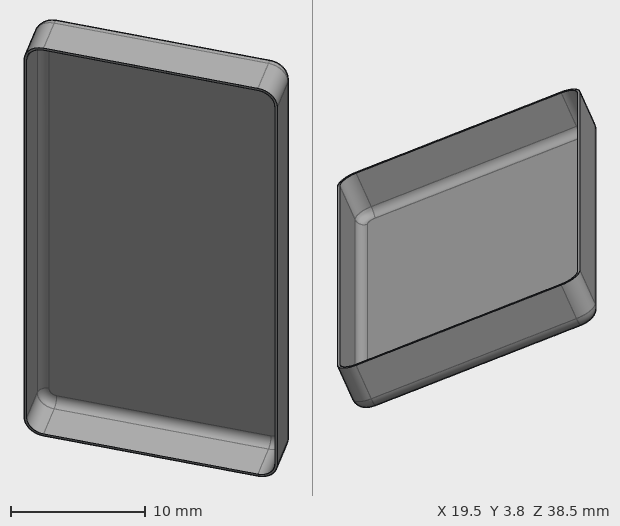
import cadquery as cq

width = 19.5
depth = 3.8
height = 38.5

wall = 0.2
corner_radius = 1.5
outer_edge_radius = 0.9
inner_edge_radius = outer_edge_radius - wall


def rounded_block(block_width, block_height, block_depth, side_radius, back_radius):
    """Block centred on X and Z, from Y = 0 to block_depth, rounded at its sides and back rim."""
    block = cq.Workplane("XY").box(block_width, block_depth, block_height, centered=(True, False, True))
    block = block.edges("|Y").fillet(side_radius)
    return block.faces(">Y").edges().fillet(back_radius)


shell = rounded_block(width, height, depth, corner_radius, outer_edge_radius)
cavity = rounded_block(
    width - 2 * wall,
    height - 2 * wall,
    depth - wall,
    corner_radius - wall,
    inner_edge_radius,
)

result = shell.cut(cavity)